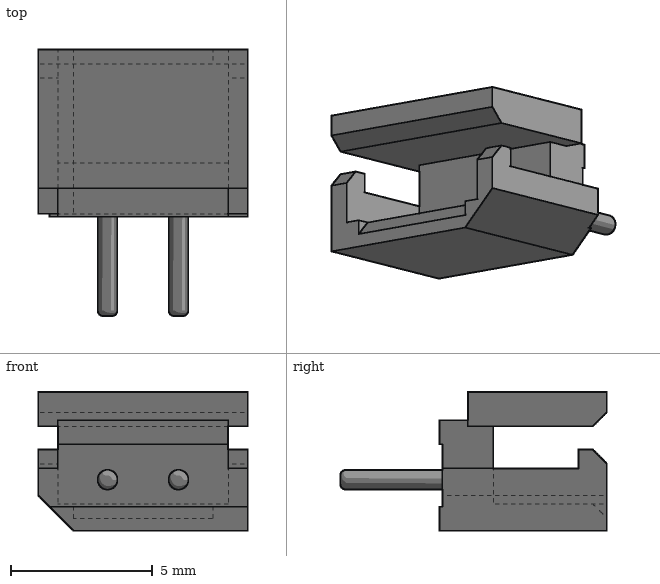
import cadquery as cq

width = 7.4
height = 4.9
pin_tip_y = -9.4
wall_front_y = -5.8
lip_depth = 0.1
lip_front_y = wall_front_y - lip_depth
cavity_end_y = -4.0

floor_thickness = 0.95
lower_lip_height = 0.85
side_wall = 0.7
rail_top = 2.2
corner_bevel = 1.25
catch_top = 2.87
catch_length = 1.0
lead_in = 0.5

inner_width = width - 2 * side_wall
wall_top = 3.9
upper_lip_height = 0.85
roof_bottom = 3.68
roof_length = 4.9

pin_count = 2
pin_pitch = 2.5
pin_diameter = 0.7
pin_z = 1.8
pin_tip_radius = 0.2
pin_embed = 0.9


def side_profile(points, x_start, x_width):
    """Extrude a closed (y, z) outline along +X from x_start."""
    return cq.Workplane("YZ").workplane(offset=x_start).polyline(points).close().extrude(x_width)


def make_base():
    """Side rails with catches, joined by the bottom, with one bevelled lower corner."""
    outline = [
        (0, 0),
        (0, catch_top - lead_in),
        (-lead_in, catch_top),
        (-catch_length, catch_top),
        (-catch_length, rail_top),
        (wall_front_y, rail_top),
        (wall_front_y, lower_lip_height),
        (lip_front_y, lower_lip_height),
        (lip_front_y, 0),
    ]
    base = side_profile(outline, -width / 2, width)
    bevel = (
        cq.Workplane("XZ")
        .polyline([(-width / 2, 0), (corner_bevel - width / 2, 0), (-width / 2, corner_bevel)])
        .close()
        .extrude(-lip_front_y)
    )
    return base.cut(bevel)


def make_cavity():
    """Open space between the rails, above the floor and ahead of the pin wall."""
    cavity_height = roof_bottom - floor_thickness
    return (
        cq.Workplane("XY", origin=(0, cavity_end_y, floor_thickness))
        .box(inner_width, -cavity_end_y, cavity_height, centered=(True, False, False))
    )


def make_floor_lead_in():
    """Chamfer on the mouth edge of the floor, kept clear of the bevelled corner."""
    outline = [(0, floor_thickness), (-lead_in, floor_thickness), (0, floor_thickness - lead_in)]
    half_width = width / 2 - corner_bevel
    return side_profile(outline, -half_width, 2 * half_width)


def make_pin_wall():
    """Wall that carries the pins, with a lip along its upper edge."""
    lip_bottom = wall_top - upper_lip_height
    outline = [
        (cavity_end_y, floor_thickness),
        (cavity_end_y, wall_top),
        (lip_front_y, wall_top),
        (lip_front_y, lip_bottom),
        (wall_front_y, lip_bottom),
        (wall_front_y, floor_thickness),
    ]
    return side_profile(outline, -inner_width / 2, inner_width)


def make_roof():
    """Full-width roof plate, chamfered on the lower mouth edge."""
    outline = [
        (0, height),
        (0, roof_bottom + lead_in),
        (-lead_in, roof_bottom),
        (-roof_length, roof_bottom),
        (-roof_length, height),
    ]
    return side_profile(outline, -width / 2, width)


def make_pin(x):
    """Round pin with a rounded tip, rooted in the pin wall."""
    root_y = wall_front_y + pin_embed
    return (
        cq.Workplane("XZ", origin=(x, root_y, pin_z))
        .circle(pin_diameter / 2)
        .extrude(root_y - pin_tip_y)
        .faces("<Y")
        .edges()
        .fillet(pin_tip_radius)
    )


result = make_base().cut(make_cavity()).cut(make_floor_lead_in())
result = result.union(make_pin_wall()).union(make_roof())
for index in range(pin_count):
    pin_x = (index - (pin_count - 1) / 2) * pin_pitch
    result = result.union(make_pin(pin_x))